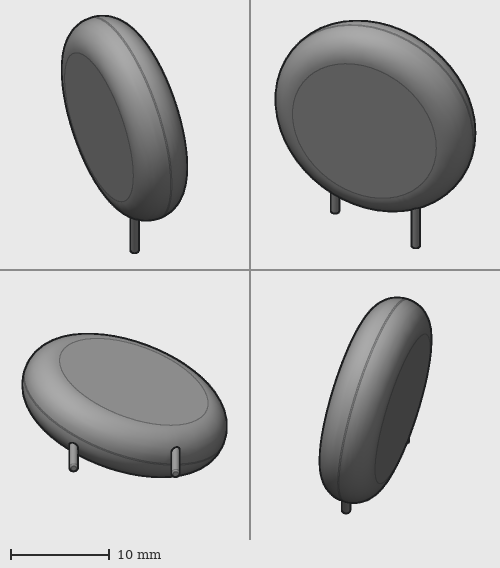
import cadquery as cq

body_diameter = 21.5
body_thickness = 5.8
overall_height = 24.53
rim_band_width = 0.14
edge_radius = (body_thickness - rim_band_width) / 2

lead_diameter = 0.9
lead_pitch = 10.0
lead_offset = 1.3
lead_protrusion = overall_height - body_diameter
lead_tip_rounding = lead_diameter / 5

body_radius = body_diameter / 2
lead_bottom = -lead_protrusion
lead_top = body_radius


def make_body():
    """Round disc resting on Z = 0, with both circular edges rounded."""
    back_face = cq.Workplane("XZ", origin=(0, body_thickness / 2, body_radius))
    return back_face.circle(body_radius).extrude(body_thickness).edges().fillet(edge_radius)


def make_lead(x, y):
    """Vertical round wire with a rounded lower tip."""
    wire = cq.Workplane("XY", origin=(x, y, lead_bottom)).circle(lead_diameter / 2)
    return wire.extrude(lead_top - lead_bottom).faces("<Z").edges().fillet(lead_tip_rounding)


result = make_body()
for side in (-1, 1):
    result = result.union(make_lead(side * lead_pitch / 2, -side * lead_offset))